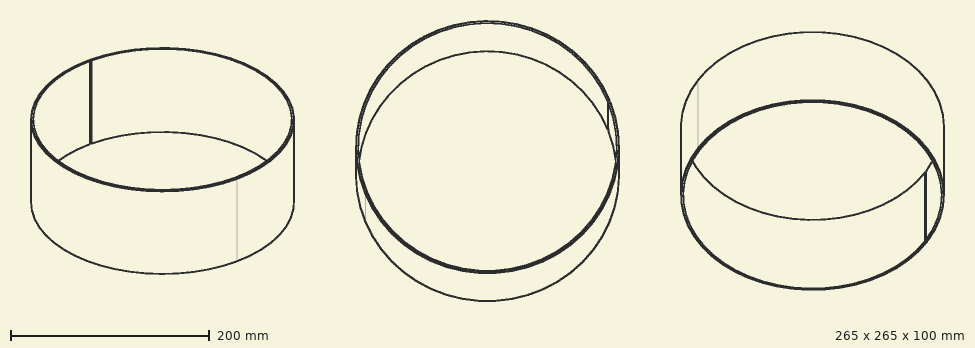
import cadquery as cq

outer_diameter = 265.0
height = 100.0
wall = 2.5
edge_chamfer = 0.5

slit_width = 2.25

outer_radius = outer_diameter / 2
inner_radius = outer_radius - wall


def make_ring():
    """Thin ring with its outer top and bottom rims chamfered."""
    cylinder = cq.Workplane("XY").circle(outer_radius).extrude(height)
    cylinder = cylinder.faces("<Z or >Z").edges().chamfer(edge_chamfer)
    bore = cq.Workplane("XY").circle(inner_radius).extrude(height)
    return cylinder.cut(bore)


def make_slit():
    """Full-height cutter from the ring axis out past the -X wall."""
    return cq.Workplane("XY").box(outer_diameter, slit_width, height, centered=False).translate(
        (-outer_diameter, 0, 0)
    )


result = make_ring().cut(make_slit())